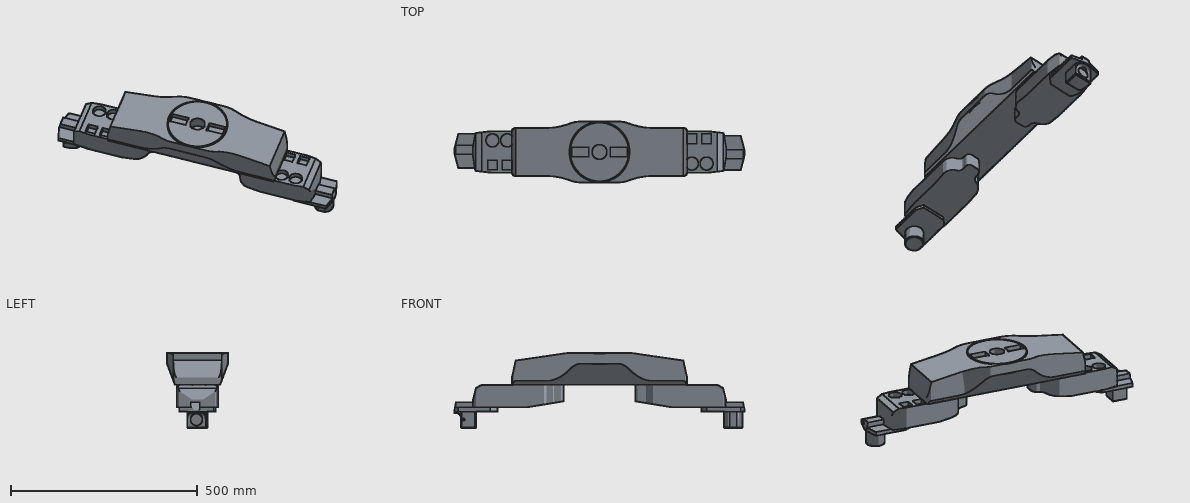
import cadquery as cq
import math

bridge_height = 85.5
plate_bottom = -71.5
block_bottom = -116.0
half_length = 388.5

bridge_end = 235.0
bridge_top_end = 224.5
bridge_flat_end = 85.5
bridge_end_wall = 19.5
bridge_end_height = 65.0
bridge_half_width = 64.5
bridge_corner_radius = 9.0
waist_half_width = 82.0
swell_start = 143.0
swell_turn = 79.0
swell_end = 49.0
underside_half_width = 61.0
flank_height = 57.0

disc_diameter = 162.0
disc_thickness = 31.0
disc_chamfer = 2.0
disc_hole_diameter = 40.0
disc_slot_length = 46.0
disc_slot_width = 26.5
disc_slot_depth = 12.5
disc_slot_offset = 52.0

arm_bottom = -61.0
arm_end = 339.0
arm_inner_end = 95.5
arm_half_width = 56.0
arm_snout_half_width = 22.0
snout_corner_radius = 12.5
snout_start = 116.0
shoulder_turn = 130.5
shoulder_start = 161.0
taper_start = 285.0
taper_blend = 9.0
taper_blend_drop = 0.55
taper_half_width = 51.0
arm_corner_start = 329.5
arm_corner_end = 333.0
arm_corner_half_width = 47.5
arm_nose_half_width = 14.0
arm_ramp_top = (315.5, 0.0)
arm_ramp_bottom = (331.0, -8.5)
arm_slope_bottom = -40.0
arm_level_end = 194.0
arm_inner_bottom = -44.0
arm_pocket_depth = 14.0
pocket_columns = (287.0, 247.0)
round_pocket_diameter = 35.0
round_pocket_y = 31.0
square_pocket_side = 26.5
square_pocket_y = -35.0

plate_outer_shoulder = 378.5
plate_inner_end = 273.0
plate_inner_left = 287.0
plate_inner_right = 292.0
plate_inner_tip_left = 35.0
plate_inner_tip_right = -33.0
plate_left = 49.0
plate_right = -43.5
plate_tip_left = 9.0
plate_tip_right = -5.0
rib_top = -47.0
rib_left = 18.0
rib_right = -6.0
rib_top_end = 385.0
slant_foot = -67.0

block_chamfer = 2.0

socket_face = 371.5
socket_left = 28.0
socket_face_right = -22.5
socket_outline = [
    (-socket_face, socket_left),
    (-socket_face, socket_face_right),
    (-369.0, -26.0),
    (-360.5, -26.0),
    (-350.5, -25.0),
    (-334.0, -19.5),
    (-329.5, -13.0),
    (-329.5, socket_left),
]
lip_diameter = 50.5
lip_height = 5.0
lip_fillet = 12.0
bore_diameter = 32.0
bore_depth = 1.0
bore_z = -93.0
side_hole_diameter = 6.0
side_hole_depth = 5.0
side_hole_x = -364.5

foot_diameter = 50.5
foot_center = (358.0, -4.0)
foot_flat_length = 19.0


def s_curve_turn(start, end, turn_x):
    """Point on the chord where two tangent arcs of an S-curve meet."""
    share = (turn_x - start[0]) / (end[0] - start[0])
    return turn_x, start[1] + share * (end[1] - start[1])


def side_prism(points, half_depth):
    """Prism of an XZ outline, centred on y = 0."""
    return cq.Workplane("XZ").polyline(points).close().extrude(half_depth, both=True)


def vertical_prism(outline, bottom, top):
    """Prism of a closed XY outline between two levels."""
    return outline.extrude(top - bottom).translate((0, 0, bottom))


def polygon_prism(points, bottom, top):
    """Prism of an XY polygon between two levels."""
    return vertical_prism(cq.Workplane("XY").polyline(points).close(), bottom, top)


def half_turn_pair(body):
    """The body and its copy turned half a turn about the Z axis."""
    return [body.rotate((0, 0, 0), (0, 0, 1), angle).val() for angle in (0, 180)]


def make_disc():
    disc = vertical_prism(
        cq.Workplane("XY").circle(disc_diameter / 2), bridge_height - disc_thickness, bridge_height
    )
    disc = disc.faces(">Z").chamfer(disc_chamfer)
    disc = disc.faces(">Z").workplane().hole(disc_hole_diameter)
    for side in (-1, 1):
        slot = cq.Workplane("XY").box(disc_slot_length, disc_slot_width, 2 * disc_slot_depth)
        disc = disc.cut(slot.translate((side * disc_slot_offset, 0, bridge_height)))
    return disc


def make_bridge():
    swell_from = (-swell_start, bridge_half_width)
    swell_to = (-swell_end, waist_half_width)
    turn_x, turn_y = s_curve_turn(swell_from, swell_to, -swell_turn)
    plan = (
        cq.Workplane("XY")
        .moveTo(-bridge_end, 0)
        .lineTo(-bridge_end, bridge_half_width - bridge_corner_radius)
        .tangentArcPoint((-bridge_end + bridge_corner_radius, bridge_half_width), relative=False)
        .lineTo(*swell_from)
        .tangentArcPoint((turn_x, turn_y), relative=False)
        .tangentArcPoint(swell_to, relative=False)
        .lineTo(swell_end, waist_half_width)
        .tangentArcPoint((-turn_x, turn_y), relative=False)
        .tangentArcPoint((swell_start, bridge_half_width), relative=False)
        .lineTo(bridge_end - bridge_corner_radius, bridge_half_width)
        .tangentArcPoint((bridge_end, bridge_half_width - bridge_corner_radius), relative=False)
        .lineTo(bridge_end, 0)
        .mirrorX()
    )
    profile = [
        (-bridge_end, 0),
        (-bridge_end, bridge_end_wall),
        (-bridge_top_end, bridge_end_height),
        (-bridge_flat_end, bridge_height),
        (bridge_flat_end, bridge_height),
        (bridge_top_end, bridge_end_height),
        (bridge_end, bridge_end_wall),
        (bridge_end, 0),
    ]
    section = [
        (-underside_half_width, 0),
        (-waist_half_width, flank_height),
        (-waist_half_width, bridge_height),
        (waist_half_width, bridge_height),
        (waist_half_width, flank_height),
        (underside_half_width, 0),
    ]
    section_prism = cq.Workplane("YZ").polyline(section).close().extrude(bridge_end, both=True)
    bridge = vertical_prism(plan, 0, bridge_height)
    bridge = bridge.intersect(side_prism(profile, waist_half_width)).intersect(section_prism)
    disc_seat = vertical_prism(
        cq.Workplane("XY").circle(disc_diameter / 2), bridge_height - disc_thickness, bridge_height
    )
    return bridge.cut(disc_seat)


def make_arm():
    shoulder_from = (-shoulder_start, arm_half_width)
    shoulder_to = (-snout_start, arm_snout_half_width)
    plan = (
        cq.Workplane("XY")
        .moveTo(-arm_end, 0)
        .lineTo(-arm_end, arm_nose_half_width)
        .lineTo(-arm_corner_end, arm_corner_half_width)
        .tangentArcPoint((-arm_corner_start, taper_half_width), relative=False)
        .lineTo(-taper_start - taper_blend, arm_half_width - taper_blend_drop)
        .tangentArcPoint((-taper_start, arm_half_width), relative=False)
        .lineTo(*shoulder_from)
        .tangentArcPoint(s_curve_turn(shoulder_from, shoulder_to, -shoulder_turn), relative=False)
        .tangentArcPoint(shoulder_to, relative=False)
        .lineTo(-arm_inner_end - snout_corner_radius, arm_snout_half_width)
        .tangentArcPoint((-arm_inner_end, arm_snout_half_width - snout_corner_radius), relative=False)
        .lineTo(-arm_inner_end, 0)
        .mirrorX()
    )
    profile = [
        (-arm_ramp_top[0], arm_ramp_top[1]),
        (-arm_ramp_bottom[0], arm_ramp_bottom[1]),
        (-arm_end, arm_slope_bottom),
        (-arm_end, arm_bottom),
        (-arm_level_end, arm_bottom),
        (-arm_inner_end, arm_inner_bottom),
        (-arm_inner_end, 0),
    ]
    arm = vertical_prism(plan, arm_bottom, 0).intersect(side_prism(profile, arm_half_width))
    for column in pocket_columns:
        round_pocket = cq.Workplane("XY").center(-column, round_pocket_y).circle(round_pocket_diameter / 2)
        arm = arm.cut(vertical_prism(round_pocket, -arm_pocket_depth, 0))
        square_pocket = cq.Workplane("XY").center(-column, square_pocket_y)
        square_pocket = square_pocket.rect(square_pocket_side, square_pocket_side)
        arm = arm.cut(vertical_prism(square_pocket, -arm_pocket_depth, 0))
    return arm


def make_tab(arm):
    plate_points = [
        (-half_length, plate_tip_right),
        (-half_length, plate_tip_left),
        (-plate_outer_shoulder, plate_left),
        (-plate_inner_left, plate_left),
        (-plate_inner_end, plate_inner_tip_left),
        (-plate_inner_end, plate_inner_tip_right),
        (-plate_inner_right, plate_right),
        (-plate_outer_shoulder, plate_right),
    ]
    rib_points = [
        (-half_length, rib_right),
        (-half_length, rib_left),
        (-arm_corner_start, rib_left),
        (-arm_corner_start, rib_right),
    ]
    plate = polygon_prism(plate_points, plate_bottom, arm_bottom)
    rib = polygon_prism(rib_points, arm_bottom, rib_top)
    rib = rib.intersect(polygon_prism(plate_points, arm_bottom, rib_top))

    slant_waste = (
        cq.Workplane("XZ", origin=(0, rib_left, 0))
        .polyline([(-half_length, slant_foot), (-half_length, rib_top), (-rib_top_end, rib_top)])
        .close()
        .extrude(rib_left - rib_right)
    )
    return plate.union(rib).cut(slant_waste).cut(arm)


def make_socket_block():
    block = polygon_prism(socket_outline, block_bottom, plate_bottom)
    block = block.faces("<Z").chamfer(block_chamfer)

    face_center_y = (socket_left + socket_face_right) / 2
    lip_radius = lip_diameter / 2
    lip_center_x = -half_length + lip_radius
    lip_bottom = plate_bottom - lip_height
    blend_bottom = lip_bottom - lip_fillet
    lip_plan = cq.Workplane("XY").center(lip_center_x, face_center_y).circle(lip_radius)
    lip_profile = (
        cq.Workplane("XZ")
        .moveTo(-half_length, plate_bottom)
        .lineTo(-half_length, lip_bottom)
        .lineTo(-socket_face - lip_fillet, lip_bottom)
        .tangentArcPoint((-socket_face, blend_bottom), relative=False)
        .lineTo(lip_center_x, blend_bottom)
        .lineTo(lip_center_x, plate_bottom)
        .close()
        .extrude(lip_diameter, both=True)
    )
    block = block.union(vertical_prism(lip_plan, blend_bottom, plate_bottom).intersect(lip_profile))

    bore = (
        cq.Workplane("YZ", origin=(-half_length, face_center_y, bore_z))
        .circle(bore_diameter / 2)
        .extrude(half_length - socket_face + bore_depth)
    )

    side_y = min(y for _, y in socket_outline)
    side_hole = (
        cq.Workplane("XZ", origin=(side_hole_x, side_y, bore_z))
        .circle(side_hole_diameter / 2)
        .extrude(-side_hole_depth)
    )
    return block.cut(bore).cut(side_hole)


def make_foot_block():
    """Round foot with a flat along its -Y side and a chamfered bottom edge."""
    radius = foot_diameter / 2
    flat_distance = math.sqrt(radius**2 - (foot_flat_length / 2) ** 2)
    round_plan = cq.Workplane("XY").center(*foot_center).circle(radius)
    round_body = vertical_prism(round_plan, block_bottom, plate_bottom)

    trim_side = 2 * foot_diameter
    trim_center_y = foot_center[1] - flat_distance + trim_side / 2
    trim_plan = cq.Workplane("XY").center(foot_center[0], trim_center_y).rect(trim_side, trim_side)
    trim_body = vertical_prism(trim_plan, block_bottom, plate_bottom)

    round_body = round_body.faces("<Z").chamfer(block_chamfer)
    trim_body = trim_body.faces("<Z").chamfer(block_chamfer)
    return round_body.intersect(trim_body)


bridge = make_bridge()
disc = make_disc()
arm = make_arm()
tab = make_tab(arm)
socket_block = make_socket_block()
foot_block = make_foot_block()

result = cq.Compound.makeCompound(
    [
        bridge.val(),
        disc.val(),
        *half_turn_pair(arm),
        *half_turn_pair(tab),
        socket_block.val(),
        foot_block.val(),
    ]
)